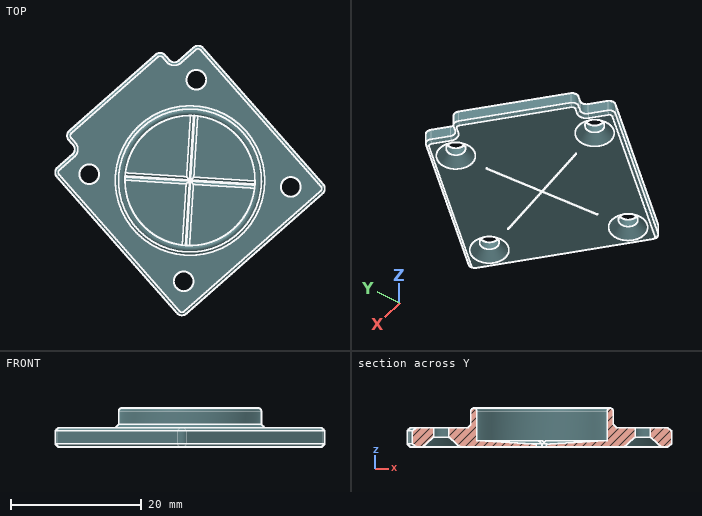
import cadquery as cq
import math

overall_span = 41.5
plate_turn = 41.4
plate_thickness = 3.0
outline_radius = 1.0
edge_chamfer = 0.5

off_diagonal = math.radians(45 - plate_turn)
corner_reach = overall_span / 2 - outline_radius
half_side = corner_reach / (math.sqrt(2) * math.cos(off_diagonal)) + outline_radius

tab_half_width = 9.9
tab_projection = 3.05

hole_diameter = 3.0
hole_spacing = 21.95
sink_diameter = 6.0
sink_depth = (sink_diameter - hole_diameter) / 2

ring_outer_diameter = 22.0
ring_inner_diameter = 20.0
ring_top = 6.0
ring_wall = (ring_outer_diameter - ring_inner_diameter) / 2
rim_radius = ring_wall / 2
ring_foot_chamfer = 0.5
floor_thickness = 1.0

slit_width = 0.1
groove_width = 1.12
groove_depth = (groove_width - slit_width) / 2


def make_plate():
    """Square plate with a tab, rounded outline and chamfered edges."""
    tab_edge = half_side + tab_projection
    outline = [
        (-half_side, -half_side),
        (half_side, -half_side),
        (half_side, half_side),
        (tab_half_width, half_side),
        (tab_half_width, tab_edge),
        (-tab_half_width, tab_edge),
        (-tab_half_width, half_side),
        (-half_side, half_side),
    ]
    plate = cq.Workplane("XY").polyline(outline).close().extrude(plate_thickness)
    plate = plate.edges("|Z").fillet(outline_radius)
    return plate.faces("<Z or >Z").edges().chamfer(edge_chamfer)


def make_ring():
    """Ring with a chamfered foot and a fully rounded rim."""
    outer_radius = ring_outer_diameter / 2
    inner_radius = ring_inner_diameter / 2
    rim_start = ring_top - rim_radius
    return (
        cq.Workplane("XZ")
        .moveTo(inner_radius, floor_thickness)
        .lineTo(outer_radius + ring_foot_chamfer, floor_thickness)
        .lineTo(outer_radius + ring_foot_chamfer, plate_thickness)
        .lineTo(outer_radius, plate_thickness + ring_foot_chamfer)
        .lineTo(outer_radius, rim_start)
        .threePointArc((inner_radius + rim_radius, ring_top), (inner_radius, rim_start))
        .close()
        .revolve(360, (0, 0), (0, 1))
    )


def make_recess():
    """Round pocket in the plate inside the ring, down to the floor."""
    return (
        cq.Workplane("XY")
        .workplane(offset=floor_thickness)
        .circle(ring_inner_diameter / 2)
        .extrude(plate_thickness - floor_thickness)
    )


def make_slit(angle):
    """Slit through the floor, opening upward as a V groove, along one diagonal."""
    groove_bottom = floor_thickness - groove_depth
    profile = [
        (-slit_width / 2, 0),
        (slit_width / 2, 0),
        (slit_width / 2, groove_bottom),
        (groove_width / 2, floor_thickness),
        (-groove_width / 2, floor_thickness),
        (-slit_width / 2, groove_bottom),
    ]
    bar = cq.Workplane("XZ").polyline(profile).close().extrude(ring_inner_diameter / 2, both=True)
    inside_ring = cq.Workplane("XY").circle(ring_inner_diameter / 2).extrude(floor_thickness)
    return bar.intersect(inside_ring).rotate((0, 0, 0), (0, 0, 1), angle)


def make_mounting_holes():
    """Four through holes, countersunk from below."""
    profile = [
        (0, 0),
        (sink_diameter / 2, 0),
        (hole_diameter / 2, sink_depth),
        (hole_diameter / 2, plate_thickness),
        (0, plate_thickness),
    ]
    hole = cq.Workplane("XZ").polyline(profile).close().revolve(360, (0, 0), (0, 1)).val()
    centers = cq.Workplane("XY").rect(hole_spacing, hole_spacing, forConstruction=True).vertices()
    return centers.eachpoint(lambda location: hole.moved(location), combine=False)


body = make_plate().cut(make_recess()).union(make_ring())
body = body.cut(make_mounting_holes())

for diagonal_angle in (45, -45):
    body = body.cut(make_slit(diagonal_angle))

result = body.rotate((0, 0, 0), (0, 0, 1), plate_turn)